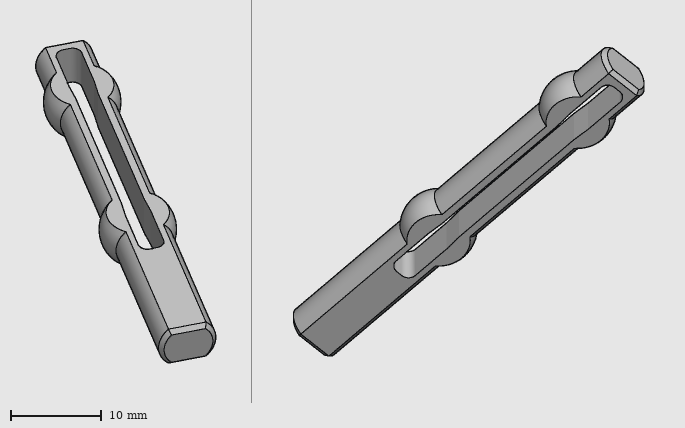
import cadquery as cq

length = 50.0
rod_diameter = 6.6
thickness = 5.0
end_chamfer = 0.5
left_end = -length / 2

slot_length = 34.65
slot_width = 2.9
end_wall = 1.4
slot_left = left_end + end_wall
slot_right = slot_left + slot_length
slot_middle = (slot_left + slot_right) / 2
slot_corner_radius = 1.05
neck_length = 18.3
neck_width = 2.6
taper_length = 2.1
neck_left = slot_middle - neck_length / 2
neck_right = slot_middle + neck_length / 2

ball_diameter = 8.6
ball_spacing = 22.15


def flat_slab():
    """Space between the top and bottom flats, wide enough for the balls."""
    return cq.Workplane("XY").box(length, 2 * ball_diameter, thickness)


def flattened_rod():
    """Rod cut to the two flats, with its whole end outlines chamfered."""
    rod = cq.Workplane("YZ", origin=(left_end, 0, 0)).circle(rod_diameter / 2).extrude(length)
    return rod.intersect(flat_slab()).faces("<X or >X").chamfer(end_chamfer)


def flattened_ball(center_x):
    """Ball on the rod axis, cut to the same flats as the rod."""
    ball = cq.Workplane("XY").sphere(ball_diameter / 2).translate((center_x, 0, 0))
    return ball.intersect(flat_slab())


def slot():
    """Slot cutter through the full thickness, with rounded end corners."""
    upper_side = [
        (slot_left, slot_width / 2),
        (neck_left - taper_length, slot_width / 2),
        (neck_left, neck_width / 2),
        (neck_right, neck_width / 2),
        (neck_right + taper_length, slot_width / 2),
        (slot_right, slot_width / 2),
    ]
    lower_side = [(x, -y) for x, y in reversed(upper_side)]
    outline = cq.Workplane("XY").polyline(upper_side + lower_side).close()
    cutter = outline.extrude(thickness / 2, both=True)
    return cutter.faces("<X or >X").edges("|Z").fillet(slot_corner_radius)


body = flattened_rod()
for ball_x in (slot_middle - ball_spacing / 2, slot_middle + ball_spacing / 2):
    body = body.union(flattened_ball(ball_x))

result = body.cut(slot())